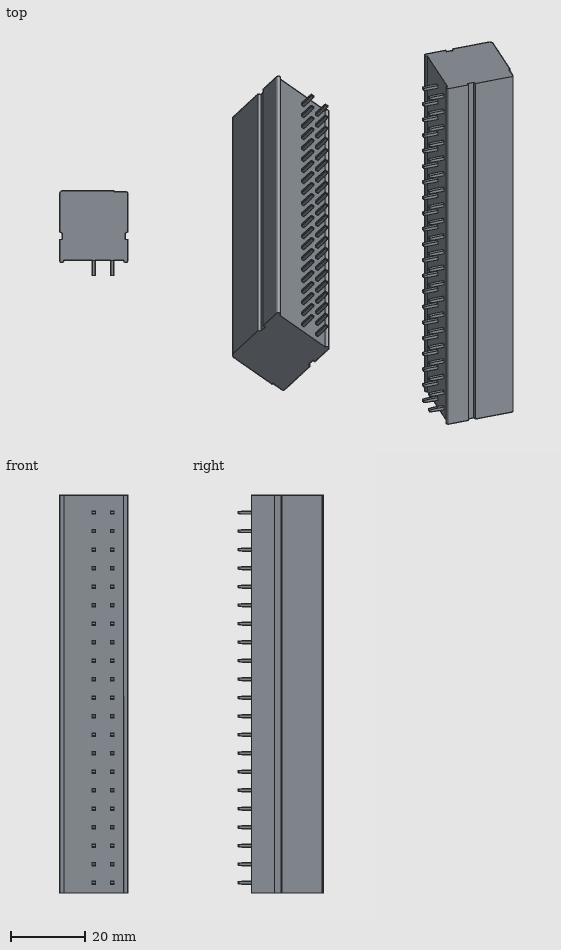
import cadquery as cq

length = 107.5
width = 18.5
overall_depth = 23.0
body_depth = 19.5

rail_radius = 0.59
corner_radius = 1.0
notch_depth = 0.7
notch_front = 6.2
notch_floor_width = 1.7
notch_mouth_width = 2.0
step_x = 5.5
step_drop = 0.3
step_corner_radius = 0.5

pin_rows = 21
pin_span = 100.0
pin_pitch = pin_span / (pin_rows - 1)
pin_column_spacing = pin_pitch
pin_size = 0.9
pin_tip_size = 0.5
pin_tip_length = 1.2
top_row_margin = 4.7

pin_tip_y = 0.0
rail_crest_y = overall_depth - body_depth
floor_y = rail_crest_y + rail_radius
back_y = overall_depth
step_y = back_y - step_drop
half_width = width / 2


def make_body():
    """Extruded housing with two round rails along its pin face and a shallow step in its back."""
    outline = (
        cq.Workplane("XY")
        .moveTo(-half_width, floor_y)
        .threePointArc((-half_width + rail_radius, rail_crest_y), (-half_width + 2 * rail_radius, floor_y))
        .lineTo(half_width - 2 * rail_radius, floor_y)
        .threePointArc((half_width - rail_radius, rail_crest_y), (half_width, floor_y))
        .lineTo(half_width, step_y - step_corner_radius)
        .radiusArc((half_width - step_corner_radius, step_y), -step_corner_radius)
        .lineTo(step_x, step_y)
        .lineTo(step_x, back_y)
        .lineTo(-half_width + corner_radius, back_y)
        .radiusArc((-half_width, back_y - corner_radius), -corner_radius)
        .close()
    )
    return outline.extrude(length)


def make_notch(side):
    """Full-length groove in one side; its back wall slants toward the mouth. side is -1 or 1."""
    outer_x = side * half_width
    inner_x = side * (half_width - notch_depth)
    front_y = rail_crest_y + notch_front
    return (
        cq.Workplane("XY")
        .moveTo(outer_x, front_y)
        .lineTo(inner_x, front_y)
        .lineTo(inner_x, front_y + notch_floor_width)
        .lineTo(outer_x, front_y + notch_mouth_width)
        .close()
        .extrude(length)
    )


def make_pin(x, z):
    """Square pin standing out of the pin face, its tip tapered along Z only."""
    shank_end_y = pin_tip_y + pin_tip_length
    shank = (
        cq.Workplane("XZ", origin=(x, floor_y, z))
        .rect(pin_size, pin_size)
        .extrude(floor_y - shank_end_y)
    )
    tip = (
        cq.Workplane("XZ", origin=(x, shank_end_y, z))
        .rect(pin_size, pin_size)
        .workplane(offset=pin_tip_length)
        .rect(pin_size, pin_tip_size)
        .loft()
    )
    return shank.union(tip)


result = make_body()
for side in (-1, 1):
    result = result.cut(make_notch(side))

for row in range(pin_rows):
    pin_z = length - top_row_margin - row * pin_pitch
    for pin_x in (0, pin_column_spacing):
        result = result.union(make_pin(pin_x, pin_z))